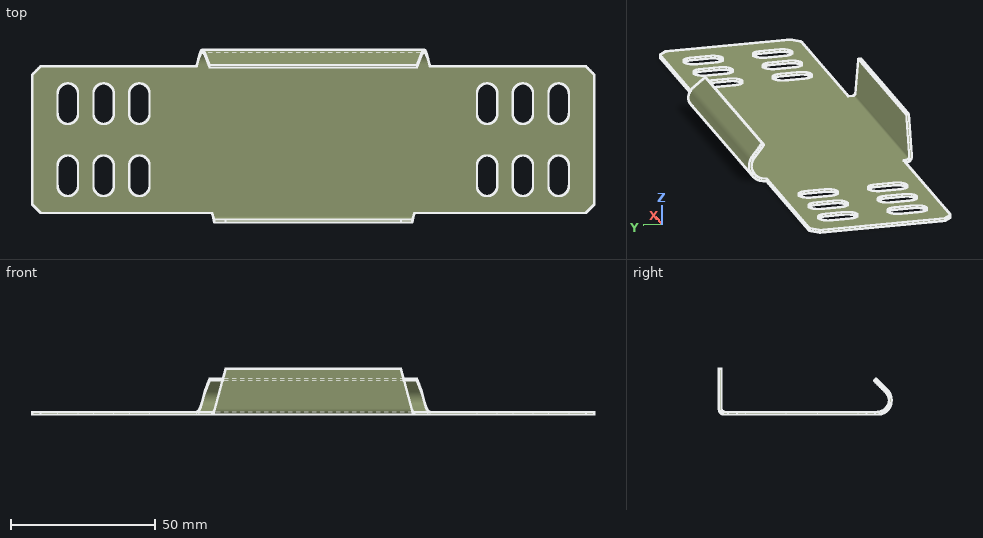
import cadquery as cq
import math

thickness = 1.0
plate_length = 195.0
plate_width = 51.0
corner_chamfer = 3.0

slot_width = 7.0
slot_length = 14.0
slot_pitch_x = 12.4
slot_pitch_y = 25.0
slot_columns = 3
first_slot_from_end = 12.4

taper = math.radians(15)
part_width = 60.0

flange_root_width = 70.2
flange_height = 16.0
flange_overhang = 3.25
flange_bend_radius = 1.0

hook_root_width = 81.0
hook_height = 12.5
hook_overhang = part_width - plate_width - flange_overhang
hook_bend_radius = 4.0
hook_bend_angle = math.radians(135)

curve_points = 9


def make_plate():
    """Flat plate with clipped corners."""
    return (
        cq.Workplane("XY")
        .box(plate_length, plate_width, thickness, centered=(True, True, False))
        .edges("|Z")
        .chamfer(corner_chamfer)
    )


def make_slots():
    """Cutters for both groups of slots, mirrored about the middle of the plate."""
    centers = []
    for column in range(slot_columns):
        x = plate_length / 2 - first_slot_from_end - column * slot_pitch_x
        for side_x in (-1, 1):
            for side_y in (-1, 1):
                centers.append((side_x * x, side_y * slot_pitch_y / 2))
    return (
        cq.Workplane("XY")
        .pushPoints(centers)
        .slot2D(slot_length, slot_width, 90)
        .extrude(thickness)
    )


def planar_face(corners):
    """Flat face with the given corners."""
    return cq.Face.makeFromWires(cq.Wire.makePolygon(corners, close=True))


def solid_from_edges(edges):
    """Solid bounded by four lengthwise edges, given in order round the section."""
    faces = []
    for index, edge in enumerate(edges):
        next_edge = edges[(index + 1) % len(edges)]
        if edge.geomType() == "LINE":
            outline = [edge.startPoint(), edge.endPoint(), next_edge.endPoint(), next_edge.startPoint()]
            faces.append(planar_face(outline))
        else:
            faces.append(cq.Face.makeRuledSurface(edge, next_edge))
    for end in (0, 1):
        corners = [edge.positionAt(end) for edge in edges]
        faces.append(planar_face(corners))
    return cq.Workplane(obj=cq.Solid.makeSolid(cq.Shell.makeShell(faces)))


def section_corners(half_width, y, z, heading):
    """Corners of the tab's cross-section where its middle surface is at (y, z)."""
    offset_y = -math.sin(heading) * thickness / 2
    offset_z = math.cos(heading) * thickness / 2
    return [
        cq.Vector(-half_width, y - offset_y, z - offset_z),
        cq.Vector(half_width, y - offset_y, z - offset_z),
        cq.Vector(half_width, y + offset_y, z + offset_z),
        cq.Vector(-half_width, y + offset_y, z + offset_z),
    ]


def flat_piece(half_width, y, z, heading, length):
    """Flat, tapered stretch of a tab that starts at (y, z)."""
    end_y = y + length * math.cos(heading)
    end_z = z + length * math.sin(heading)
    end_half_width = half_width - length * math.tan(taper)
    start = section_corners(half_width, y, z, heading)
    end = section_corners(end_half_width, end_y, end_z, heading)
    return solid_from_edges([cq.Edge.makeLine(a, b) for a, b in zip(start, end)])


def bend_piece(half_width, y, z, inner_radius, angle):
    """Bend that starts level at (y, z) and curls upward; its sides run as helices."""
    radius = inner_radius + thickness / 2
    sections = []
    for index in range(curve_points):
        turn = angle * index / (curve_points - 1)
        sections.append(
            section_corners(
                half_width - radius * turn * math.tan(taper),
                y + radius * math.sin(turn),
                z + radius * (1 - math.cos(turn)),
                turn,
            )
        )
    return solid_from_edges([cq.Edge.makeSpline(list(line)) for line in zip(*sections)])


def make_tab(root_width, overhang, height, inner_radius, angle):
    """Tab on the +Y edge: a short level root, a bend and a straight lip."""
    mid_radius = inner_radius + thickness / 2
    outer_radius = inner_radius + thickness
    edge_y = plate_width / 2
    mid_z = thickness / 2

    root_length = overhang - outer_radius
    bend_y = edge_y + root_length
    bend_half_width = root_width / 2 - root_length * math.tan(taper)

    lip_y = bend_y + mid_radius * math.sin(angle)
    lip_z = mid_z + mid_radius * (1 - math.cos(angle))
    lip_half_width = bend_half_width - mid_radius * angle * math.tan(taper)
    corner_rise = abs(math.cos(angle)) * thickness / 2
    lip_length = (height - corner_rise - lip_z) / math.sin(angle)

    root = flat_piece(root_width / 2, edge_y, mid_z, 0, root_length)
    bend = bend_piece(bend_half_width, bend_y, mid_z, inner_radius, angle)
    lip = flat_piece(lip_half_width, lip_y, lip_z, angle, lip_length)
    return root.union(bend).union(lip)


flange = make_tab(
    flange_root_width, flange_overhang, flange_height, flange_bend_radius, math.pi / 2
).mirror("XZ")
hook = make_tab(hook_root_width, hook_overhang, hook_height, hook_bend_radius, hook_bend_angle)

part = make_plate().cut(make_slots()).union(flange).union(hook)
result = cq.Workplane(obj=part.solids().val())